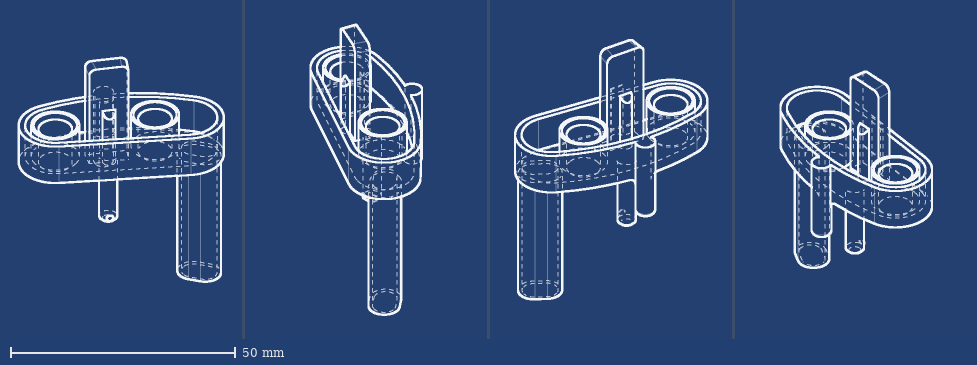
import cadquery as cq
import math

total_height = 59
cup_height = 10.0
blade_rise = 17.05
floor_thickness = 1.55
tube_length = total_height - cup_height - blade_rise

end_radius = 8.2
end_offset = 10.45
bulge_height = 10.75
cup_angle = 45
wall = 1.5

sleeve_radius = 5.35
bore_radius = 3.8
lead_in = 1.05
lead_in_depth = 1.05
sleeve_centres = [(-end_offset, -end_offset), (4.25, 6.7)]

slot_radius = 2.6
tube_wall = 0.95
slot_centre = (12.7, 11.9)
slot_travel = 2.85
slot_angle = 22.5

blade_centre = (-1.25, -3.35)
blade_angle = 50
blade_thickness = 3.5
blade_long_side = 9.5
blade_short_side = 8.9
blade_rounding = 1.55
rib_radius = 1.5
rib_rise = 5.55

side_pin_centre = (-10.15, 6.25)
side_pin_radius = 2.25
side_pin_drop = 9.3
side_pin_rounding = 1.0
long_pin_centre = (-3.55, -0.25)
long_pin_radius = 2.05
long_pin_drop = 17.95
long_pin_chamfer = 0.7
pin_root_fillet = 1.5

stud_radius = 0.75
stud_reach = 2.1
stud_drop = 16.5


def cylinder(centre, radius, bottom, top):
    return cq.Workplane("XY", origin=(*centre, bottom)).circle(radius).extrude(top - bottom)


def outline_prism(inset, bottom, top):
    """Prism of the cup outline, moved inwards by inset."""
    radius = end_radius - inset
    half_span = end_offset * math.sqrt(2)
    rise = bulge_height - end_radius
    bulge_radius = (half_span**2 + rise**2) / (2 * rise) + radius
    bulge_centre_y = bulge_height - inset - bulge_radius
    tangent_angle = math.asin(half_span / (bulge_radius - radius))
    tangent_x = bulge_radius * math.sin(tangent_angle)
    tangent_y = bulge_centre_y + bulge_radius * math.cos(tangent_angle)
    profile = (
        cq.Workplane("XY", origin=(0, 0, bottom))
        .moveTo(-half_span, -radius)
        .lineTo(half_span, -radius)
        .threePointArc((half_span + radius, 0), (tangent_x, tangent_y))
        .threePointArc((0, bulge_height - inset), (-tangent_x, tangent_y))
        .threePointArc((-half_span - radius, 0), (-half_span, -radius))
        .close()
    )
    return profile.extrude(top - bottom).rotate((0, 0, 0), (0, 0, 1), cup_angle)


def slot_prism(radius, bottom, top):
    return (
        cq.Workplane("XY", origin=(*slot_centre, bottom))
        .transformed(rotate=(0, 0, slot_angle))
        .slot2D(slot_travel + 2 * radius, 2 * radius)
        .extrude(top - bottom)
    )


def place_on_blade(shape):
    """Move a shape built with the blade along X to the blade's place and angle."""
    return shape.rotate((0, 0, 0), (0, 0, 1), blade_angle).translate((*blade_centre, 0))


def blade():
    half = blade_thickness / 2
    body = (
        cq.Workplane("XY", origin=(0, 0, floor_thickness))
        .polyline([
            (-blade_short_side / 2, -half),
            (blade_short_side / 2, -half),
            (blade_long_side / 2, half),
            (-blade_long_side / 2, half),
        ])
        .close()
        .extrude(cup_height + blade_rise - floor_thickness)
        .faces(">Z")
        .edges("not |X")
        .fillet(blade_rounding)
    )
    return place_on_blade(body)


def blade_ribs():
    half = blade_thickness / 2
    rib_top = cup_height + rib_rise
    ribs = cylinder((0, half), rib_radius, floor_thickness, rib_top)
    ribs = ribs.union(cylinder((0, -half), rib_radius, floor_thickness, rib_top))
    eave = half + rib_radius
    gable = (
        cq.Workplane("YZ", origin=(-rib_radius, 0, 0))
        .polyline([
            (-eave, floor_thickness),
            (eave, floor_thickness),
            (eave, rib_top - rib_radius),
            (half, rib_top),
            (-half, rib_top),
            (-eave, rib_top - rib_radius),
        ])
        .close()
        .extrude(2 * rib_radius)
    )
    return place_on_blade(ribs.intersect(gable))


def root_flare(centre, radius):
    """Concave fillet between a pin and the underside, kept within the cup outline."""
    fillet = pin_root_fillet
    bend = fillet * (1 - math.sqrt(0.5))
    flare = (
        cq.Workplane("XZ")
        .lineTo(radius + fillet, 0)
        .threePointArc((radius + bend, -bend), (radius, -fillet))
        .lineTo(0, -fillet)
        .close()
        .revolve(360, (0, 0, 0), (0, 1, 0))
        .translate((*centre, 0))
    )
    return flare.intersect(outline_prism(0, -fillet, 0))


def side_pin():
    pin = cylinder(side_pin_centre, side_pin_radius, -side_pin_drop, cup_height)
    pin = pin.faces("<Z").edges().fillet(side_pin_rounding)
    return pin.union(root_flare(side_pin_centre, side_pin_radius))


def long_pin():
    pin = cylinder(long_pin_centre, long_pin_radius, -long_pin_drop, floor_thickness)
    pin = pin.faces("<Z").edges().chamfer(long_pin_chamfer)
    stud = (
        cq.Workplane("XZ", origin=(0, 0, -stud_drop))
        .circle(stud_radius)
        .extrude(stud_reach)
        .rotate((0, 0, 0), (0, 0, 1), blade_angle)
        .translate((*long_pin_centre, 0))
    )
    return pin.union(stud).union(root_flare(long_pin_centre, long_pin_radius))


def socket_bore(centre):
    """Through bore with a conical lead-in at the rim."""
    return (
        cq.Workplane("XZ")
        .lineTo(bore_radius, 0)
        .lineTo(bore_radius, cup_height - lead_in_depth)
        .lineTo(bore_radius + lead_in, cup_height)
        .lineTo(0, cup_height)
        .close()
        .revolve(360, (0, 0, 0), (0, 1, 0))
        .translate((*centre, 0))
    )


body = outline_prism(0, 0, cup_height).union(side_pin()).union(long_pin())
body = body.cut(outline_prism(wall, floor_thickness, cup_height))
body = body.union(slot_prism(slot_radius + tube_wall, -tube_length, 0))
body = body.union(blade()).union(blade_ribs())

for sleeve_centre in sleeve_centres:
    body = body.union(cylinder(sleeve_centre, sleeve_radius, 0, cup_height))
    body = body.cut(socket_bore(sleeve_centre))

result = body.cut(slot_prism(slot_radius, -tube_length, floor_thickness))